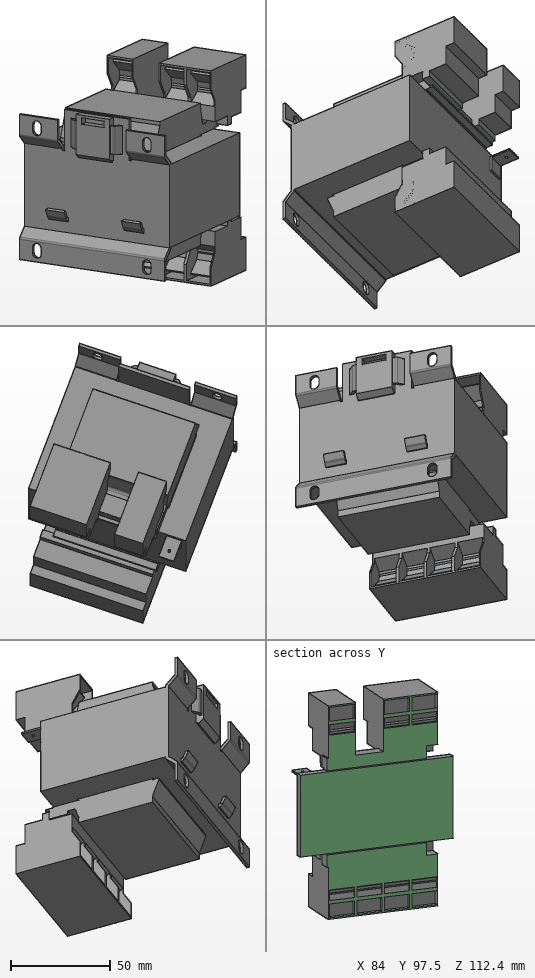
import cadquery as cq


core_width = 84.0
core_height = 43.2
core_half = core_height / 2
core_back = 76.4
window_width = 55.6
window_front = 20.4
window_back = 62.5
window_depth = 2.2

coil_width = 54.8
coil_front = 21.0
coil_back = 62.2
coil_gap = 0.3
upper_cover_top = 38.4
upper_shoulder = 36.5
upper_skirt_front = 16.1
upper_skirt_top = 23.9
lower_cover_top = 35.8
lower_shoulder = 32.2
lower_skirt_front = 17.4
lower_skirt_top = 22.8

rail_top = 28.6
rail_front = 68.4
rail_back = 78.6
rail_lip_back = 80.5
rail_lip_front = 76.9
rail_lip_bottom = 22.3
rail_lip_top = 23.5
notch_floor = 26.8
notch_front = 64.2
upper_notch_radius = 1.7

terminal_pitch = 15.0
terminal_count = 4
terminal_row_left = -26.6
empty_upper_slot = 1
terminal_left_wall = 0.9
terminal_right_wall = 0.7
terminal_top = 56.2
terminal_back = 97.5
terminal_front = 61.9
terminal_face = 66.3
terminal_cheek_top = 46.7
terminal_cheek_bottom = 39.3
terminal_step_back = 92.5
terminal_step_top = 38.9
terminal_step_bottom = 27.3
terminal_foot_back = 82.8
terminal_foot_bottom = 23.7

cavity_mouth = 60.6
cavity_top = 55.1
cavity_back = 74.3
wire_guide_back_z = 46.4
wire_guide_tip_upper = (66.9, 53.1)
wire_guide_tip_lower = (66.0, 52.2)
wire_guide_bend = (72.3, 46.5)
wire_guide_foot = (73.2, 43.2)
cavity_floor_back = 72.8
cavity_ledge_z = 42.3
cavity_floor_high = 41.0
cavity_floor_low = 36.5

plate_thickness = 1.8
plate_front = 5.0
plate_back = plate_front + plate_thickness
flange_thickness = 1.6
flange_end = 37.8
flange_bend = 26.6
flange_bend_radius = 1.5
flange_bend_rise = 0.9
flange_inner = 19.9
tab_half_width = 18.8
tab_top = 42.3
relief_bottom = 20.8
slot_width = 4.9
slot_length = 7.6
slot_offset = 31.9

latch_half_width = 9.7
latch_front = 0.9
latch_top = 42.0
latch_bottom = 18.8
latch_chamfer_top = 21.1
latch_foot_y = 3.8
latch_heel_y = 4.3
latch_heel_z = 19.7
latch_window_width = 12.9
latch_window_bottom = 37.3
latch_window_top = 40.7
guide_bottom = 23.6
guide_top = 38.4
guide_foot_x = 14.9
guide_bend_x = 11.7
guide_front = 1.9
guide_thickness = 1.3
guide_foot_width = 2.2
guide_bend_shift = 0.6
guide_bend_radius = 1.6

hook_inner = 16.5
hook_width = 10.9
hook_chamfer = 0.7
hook_tip_y = 2.2
hook_tip_z = -9.4
hook_tip_front = (0.9, -10.1)
hook_root_top = -13.7
hook_root_bottom = -15.8
hook_inner_bend = (4.0, -13.5)
hook_outer_heel_y = 4.4
hook_bend_y = 2.7
hook_bend_z = -13.9
hook_bend_radius = 2.2

earth_left = -39.8
earth_width = 8.1
earth_thickness = 1.0
earth_end = 88.0
earth_top = 19.8
earth_leg_bottom = 10.5
earth_hole_diameter = 1.3
earth_hole_y = 83.5


def box(x_range, y_range, z_range):
    """Box between two limits along each axis."""
    spans = [high - low for low, high in (x_range, y_range, z_range)]
    return cq.Workplane("XY").box(*spans, centered=False).translate((x_range[0], y_range[0], z_range[0]))


def extrude_x(points, x_left, x_right):
    """Prism of a (Y, Z) outline between two X positions."""
    outline = cq.Workplane("YZ").workplane(offset=x_left).polyline(points).close()
    return outline.extrude(x_right - x_left)


def round_edge(solid, point, radius):
    """Fillet the edge whose middle lies nearest to a point."""
    return solid.edges(cq.NearestToPointSelector(point)).fillet(radius)


def flip_z(solid):
    return solid.mirror("XY")


def flip_x(solid):
    return solid.mirror("YZ")


def make_core():
    """Core block with a shallow clearance window round each coil cover."""
    half = core_width / 2
    core = box((-half, half), (plate_back, core_back), (-core_half, core_half))
    window = box(
        (-window_width / 2, window_width / 2),
        (window_front, window_back),
        (core_half - window_depth, core_half),
    )
    return core.cut(window).cut(flip_z(window))


def make_cover(top, shoulder, skirt_front, skirt_top):
    """Coil cover above the core, with the terminal rail at its back."""
    bottom = core_half + coil_gap
    cover = extrude_x(
        [
            (skirt_front, bottom),
            (skirt_front, skirt_top),
            (coil_front, shoulder),
            (coil_front, top),
            (coil_back, top),
            (coil_back, shoulder),
            (notch_front, notch_floor),
            (rail_front, notch_floor),
            (rail_front, rail_top),
            (rail_back, rail_top),
            (rail_back, rail_lip_top),
            (rail_lip_back, rail_lip_top),
            (rail_lip_back, rail_lip_bottom),
            (rail_lip_front, rail_lip_bottom),
            (rail_lip_front, bottom),
        ],
        -coil_width / 2,
        coil_width / 2,
    )
    neck = box(
        (-coil_width / 2, coil_width / 2),
        (coil_front, coil_back),
        (core_half - window_depth, bottom),
    )
    return cover.union(neck)


def make_terminal():
    """Terminal block with its left side at X = 0 and its wire cavity open to the front."""
    body = extrude_x(
        [
            (terminal_face, rail_top),
            (rail_back, rail_top),
            (rail_back, terminal_foot_bottom),
            (terminal_foot_back, terminal_foot_bottom),
            (terminal_foot_back, terminal_step_bottom),
            (terminal_step_back, terminal_step_bottom),
            (terminal_step_back, terminal_step_top),
            (terminal_back, terminal_step_top),
            (terminal_back, terminal_top),
            (terminal_front, terminal_top),
            (terminal_front, terminal_cheek_top),
            (terminal_face, terminal_cheek_bottom),
        ],
        0,
        terminal_pitch,
    )
    cavity = extrude_x(
        [
            (cavity_mouth, cavity_top),
            (cavity_back, cavity_top),
            (cavity_back, wire_guide_back_z),
            wire_guide_tip_upper,
            wire_guide_tip_lower,
            wire_guide_bend,
            wire_guide_foot,
            (cavity_floor_back, cavity_ledge_z),
            (cavity_floor_back, cavity_floor_high),
            (terminal_face, cavity_floor_low),
            (cavity_mouth, cavity_floor_low),
        ],
        terminal_left_wall,
        terminal_pitch - terminal_right_wall,
    )
    return body.cut(cavity)


def make_plate():
    """Mounting plate with a full-width lower flange, two upper flanges and a centre tab."""
    half = core_width / 2
    plate = box((-half, half), (plate_front, plate_back), (-core_half, core_half))
    flange_points = [
        (plate_back, core_half),
        (plate_front, core_half),
        (0, flange_bend),
        (0, flange_end),
        (flange_thickness, flange_end),
        (flange_thickness, flange_bend + flange_bend_rise),
        (plate_back, core_half + flange_bend_rise),
    ]
    wide_flange = extrude_x(flange_points, -half, half)
    wide_flange = round_edge(wide_flange, (0, 0, flange_bend), flange_bend_radius)
    upper_flange = wide_flange.intersect(box((flange_inner, half), (0, plate_back), (0, flange_end)))
    plate = plate.union(flip_z(wide_flange)).union(upper_flange).union(flip_x(upper_flange))

    relief = box((tab_half_width, flange_inner), (0, plate_back), (relief_bottom, tab_top))
    plate = plate.cut(relief).cut(flip_x(relief))
    tab = box((-tab_half_width, tab_half_width), (plate_front, plate_back), (0, tab_top))
    plate = plate.union(tab)

    slots = (
        cq.Workplane("XZ")
        .rect(2 * slot_offset, 2 * slot_offset, forConstruction=True)
        .vertices()
        .slot2D(slot_length, slot_width, 90)
        .extrude(-flange_thickness)
    )
    return plate.cut(slots)


def make_latch():
    """Latch block with its finger window, held between two bent guides."""
    latch = extrude_x(
        [
            (plate_front, latch_top),
            (latch_front, latch_top),
            (latch_front, latch_chamfer_top),
            (latch_foot_y, latch_bottom),
            (latch_heel_y, latch_bottom),
            (latch_heel_y, latch_heel_z),
            (plate_front, latch_heel_z),
        ],
        -latch_half_width,
        latch_half_width,
    )
    window = box(
        (-latch_window_width / 2, latch_window_width / 2),
        (latch_front, plate_front),
        (latch_window_bottom, latch_window_top),
    )
    guide_back = guide_front + guide_thickness
    guide = (
        cq.Workplane("XY")
        .workplane(offset=guide_bottom)
        .polyline(
            [
                (guide_foot_x, plate_front),
                (guide_bend_x, guide_front),
                (latch_half_width, guide_front),
                (latch_half_width, guide_back),
                (guide_bend_x - guide_bend_shift, guide_back),
                (guide_foot_x - guide_foot_width, plate_front),
            ]
        )
        .close()
        .extrude(guide_top - guide_bottom)
    )
    bend_point = (guide_bend_x, guide_front, (guide_bottom + guide_top) / 2)
    guide = round_edge(guide, bend_point, guide_bend_radius)
    return latch.cut(window).union(guide).union(flip_x(guide))


def make_hook():
    """Bent rail hook on the right half of the plate, with its tip corners cut off."""
    hook = extrude_x(
        [
            (plate_front, hook_root_top),
            hook_inner_bend,
            (hook_tip_y, hook_tip_z),
            hook_tip_front,
            (hook_bend_y, hook_bend_z),
            (hook_outer_heel_y, hook_root_bottom),
            (plate_front, hook_root_bottom),
        ],
        hook_inner,
        hook_inner + hook_width,
    )
    bend_point = (hook_inner + hook_width / 2, hook_bend_y, hook_bend_z)
    hook = round_edge(hook, bend_point, hook_bend_radius)
    for corner_x in (hook_inner, hook_inner + hook_width):
        corner = (
            cq.Workplane("XZ")
            .center(corner_x, hook_tip_z)
            .polyline([(-hook_chamfer, 0), (0, hook_chamfer), (hook_chamfer, 0), (0, -hook_chamfer)])
            .close()
            .extrude(-plate_front)
        )
        hook = hook.cut(corner)
    return hook


def make_earth_tab():
    """L-shaped earth tab fixed to the back of the core."""
    earth_right = earth_left + earth_width
    blade = box((earth_left, earth_right), (core_back, earth_end), (earth_top - earth_thickness, earth_top))
    leg = box(
        (earth_left, earth_right),
        (core_back, core_back + earth_thickness),
        (earth_leg_bottom, earth_top),
    )
    hole = (
        cq.Workplane("XY")
        .center(earth_left + earth_width / 2, earth_hole_y)
        .circle(earth_hole_diameter / 2)
        .extrude(earth_top)
    )
    return blade.union(leg).cut(hole)


upper_cover = make_cover(upper_cover_top, upper_shoulder, upper_skirt_front, upper_skirt_top)
upper_cover = round_edge(upper_cover, (0, notch_front, notch_floor), upper_notch_radius)
lower_cover = make_cover(lower_cover_top, lower_shoulder, lower_skirt_front, lower_skirt_top)
result = make_core().union(upper_cover).union(flip_z(lower_cover))

terminal_block = make_terminal()
for slot in range(terminal_count):
    terminal = terminal_block.translate((terminal_row_left + slot * terminal_pitch, 0, 0))
    result = result.union(flip_z(terminal))
    if slot != empty_upper_slot:
        result = result.union(terminal)

hook = make_hook()
for piece in (make_plate(), make_latch(), hook, flip_x(hook), make_earth_tab()):
    result = result.union(piece)